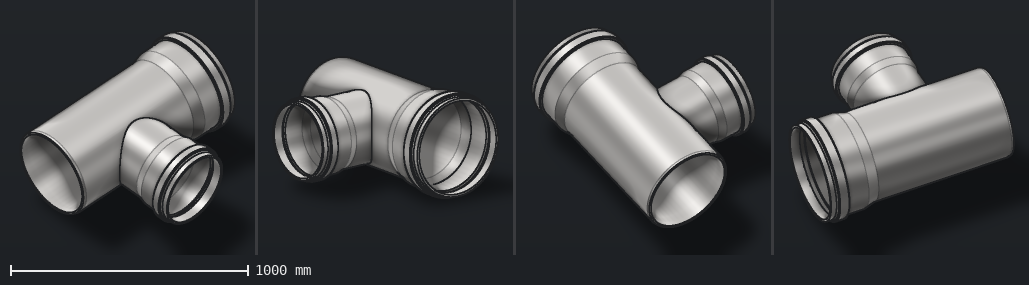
import cadquery as cq

MAIN_LENGTH = 855.0
MAIN_OUTER_DIA = 400.0
MAIN_INNER_DIA = 375.0
MAIN_SOCKET_OUTER_DIA = 429.0
MAIN_SOCKET_INNER_DIA = 407.0
MAIN_COLLAR_DIA = 455.0
MAIN_GROOVE_DIA = 433.0
MAIN_TAPER_START = 226.0
MAIN_TAPER_END = 174.0
SPIGOT_CHAMFER_LENGTH = 13.0
SPIGOT_CHAMFER_DEPTH = 3.0

BRANCH_REACH = 480.5
BRANCH_TILT = 2.5
BRANCH_AXIS_Y = 354.0
BRANCH_OUTER_DIA = 315.5
BRANCH_INNER_DIA = 295.0
BRANCH_SOCKET_OUTER_DIA = 335.0
BRANCH_SOCKET_INNER_DIA = 317.0
BRANCH_COLLAR_DIA = 361.0
BRANCH_GROOVE_DIA = 343.0
BRANCH_TAPER_START = 188.0
BRANCH_TAPER_END = 151.0

LIP_LENGTH = 25.0
COLLAR_FRONT = 33.0
MAIN_COLLAR_BACK = 81.0
BRANCH_COLLAR_BACK = 73.0
COLLAR_CHAMFER = 3.0
FLARE_HEIGHT = 5.0


def revolve_about_y(points):
    return cq.Workplane("XY").polyline(points).close().revolve(360, (0, 0, 0), (0, 1, 0))


def socket_pipe_outside(
    length, pipe_dia, socket_dia, collar_dia, taper_start, taper_end, collar_back
):
    """Solid outer body of a pipe along +Y with a collared socket at its far end."""
    pipe = pipe_dia / 2
    socket = socket_dia / 2
    collar = collar_dia / 2
    return revolve_about_y([
        (0, 0),
        (pipe, 0),
        (pipe, length - taper_start),
        (socket, length - taper_end),
        (socket, length - collar_back),
        (collar - COLLAR_CHAMFER, length - collar_back),
        (collar, length - collar_back + COLLAR_CHAMFER),
        (collar, length - COLLAR_FRONT - COLLAR_CHAMFER),
        (collar - COLLAR_CHAMFER, length - COLLAR_FRONT),
        (socket + FLARE_HEIGHT, length - COLLAR_FRONT),
        (socket, length - LIP_LENGTH),
        (socket, length),
        (0, length),
    ])


def socket_pipe_bore(
    length, pipe_dia, socket_dia, groove_dia, taper_start, taper_end, collar_back
):
    """Matching bore, with a seal groove inside the collar of the same wall thickness."""
    pipe = pipe_dia / 2
    socket = socket_dia / 2
    groove = groove_dia / 2
    wall = (MAIN_COLLAR_DIA - MAIN_GROOVE_DIA) / 2
    return revolve_about_y([
        (0, 0),
        (pipe, 0),
        (pipe, length - taper_start),
        (socket, length - taper_end),
        (socket, length - collar_back + wall),
        (groove, length - collar_back + wall),
        (groove, length - COLLAR_FRONT - wall),
        (socket, length - COLLAR_FRONT - wall),
        (socket, length),
        (0, length),
    ])


def spigot_chamfer():
    """Ring removed from the outer edge of the plain pipe end."""
    radius = MAIN_OUTER_DIA / 2
    return revolve_about_y([
        (radius - SPIGOT_CHAMFER_DEPTH, 0),
        (radius, 0),
        (radius, SPIGOT_CHAMFER_LENGTH),
    ])


def place_branch(body):
    """Turn a body from +Y to the tilted branch axis pointing along +X."""
    turned = body.rotate((0, 0, 0), (0, 0, 1), BRANCH_TILT - 90)
    return turned.translate((0, BRANCH_AXIS_Y, 0))


main_outside = socket_pipe_outside(
    MAIN_LENGTH, MAIN_OUTER_DIA, MAIN_SOCKET_OUTER_DIA, MAIN_COLLAR_DIA,
    MAIN_TAPER_START, MAIN_TAPER_END, MAIN_COLLAR_BACK,
).cut(spigot_chamfer())
main_bore = socket_pipe_bore(
    MAIN_LENGTH, MAIN_INNER_DIA, MAIN_SOCKET_INNER_DIA, MAIN_GROOVE_DIA,
    MAIN_TAPER_START, MAIN_TAPER_END, MAIN_COLLAR_BACK,
)
branch_outside = place_branch(socket_pipe_outside(
    BRANCH_REACH, BRANCH_OUTER_DIA, BRANCH_SOCKET_OUTER_DIA, BRANCH_COLLAR_DIA,
    BRANCH_TAPER_START, BRANCH_TAPER_END, BRANCH_COLLAR_BACK,
))
branch_bore = place_branch(socket_pipe_bore(
    BRANCH_REACH, BRANCH_INNER_DIA, BRANCH_SOCKET_INNER_DIA, BRANCH_GROOVE_DIA,
    BRANCH_TAPER_START, BRANCH_TAPER_END, BRANCH_COLLAR_BACK,
))

result = main_outside.union(branch_outside).cut(main_bore).cut(branch_bore)